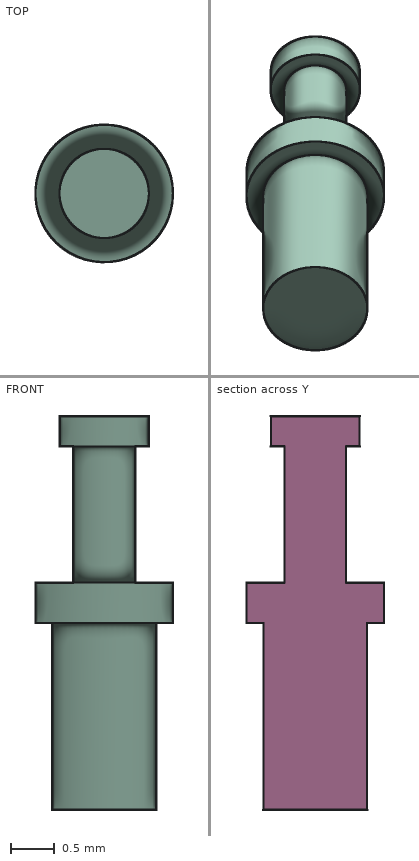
import cadquery as cq

total_length = 4.49

shank_diameter = 1.19
shank_length = 2.13

flange_diameter = 1.57
flange_thickness = 0.462

neck_diameter = 0.71

head_diameter = 1.02
head_thickness = 0.345

neck_length = total_length - shank_length - flange_thickness - head_thickness


def cylinder(diameter, bottom, length):
    """Solid cylinder on the Z axis, rising from the given height."""
    return cq.Workplane("XY").workplane(offset=bottom).circle(diameter / 2).extrude(length)


neck_bottom = flange_thickness
head_bottom = neck_bottom + neck_length

shank = cylinder(shank_diameter, -shank_length, shank_length)
flange = cylinder(flange_diameter, 0, flange_thickness)
neck = cylinder(neck_diameter, neck_bottom, neck_length)
head = cylinder(head_diameter, head_bottom, head_thickness)

result = shank.union(flange).union(neck).union(head)